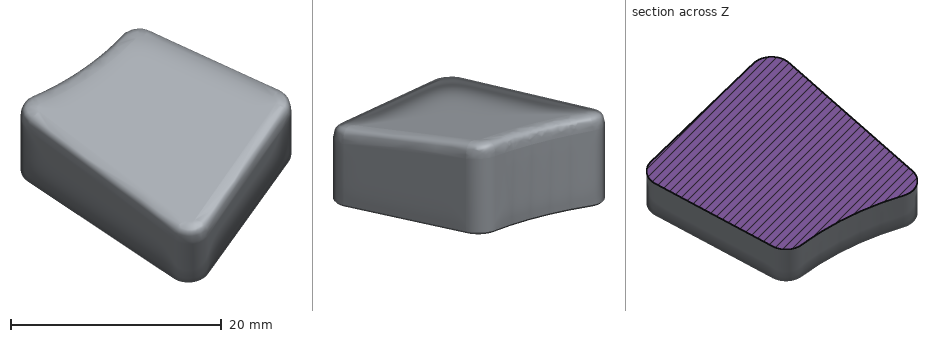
import cadquery as cq
import math

width = 22.26
depth = 20.56
height = 9.09
corner_radius = 4.25 / 2
front_angle = 14.0
back_left_x = 6.25
side_radius = 29.0
top_tilt = 5.2
crest_drop = 0.03
top_blend = 1.5
blend_fullness = 3.0
blend_steps = 8
bottom_chamfer = 0.25


right_x = width - corner_radius
back_y = depth - corner_radius
front_rise = (right_x - corner_radius) * math.tan(math.radians(front_angle))
front_right = cq.Vector(right_x, corner_radius)
front_left = cq.Vector(corner_radius, corner_radius + front_rise)
back_left = cq.Vector(back_left_x, back_y)
back_right = cq.Vector(right_x, back_y)

left_chord = back_left - front_left
half_chord = left_chord.Length / 2
chord_middle = (front_left + back_left) * 0.5
downhill = cq.Vector(left_chord.y, -left_chord.x).normalized()
level_angle = math.degrees(math.atan2(left_chord.y, left_chord.x))

hollow_offset = math.sqrt((side_radius + corner_radius) ** 2 - half_chord**2)
hollow_centre = chord_middle - downhill * hollow_offset


def outline(inset):
    """Closed outline in the XY plane, moved inward from the walls by inset."""
    radius = corner_radius - inset

    def on_corner(centre, angle):
        """Point of a corner circle at an angle in degrees from +X."""
        turn = math.radians(angle)
        point = centre + cq.Vector(math.cos(turn), math.sin(turn)) * radius
        return point.x, point.y

    def side_join(centre):
        """Point where a corner circle touches the hollow left arc."""
        point = centre + (hollow_centre - centre).normalized() * radius
        return point.x, point.y

    front_normal = 270 - front_angle
    side_middle = hollow_centre + downhill * (side_radius + inset)
    start = on_corner(front_left, front_normal)
    return (
        cq.Workplane("XY")
        .moveTo(*start)
        .lineTo(*on_corner(front_right, front_normal))
        .threePointArc(on_corner(front_right, 315), on_corner(front_right, 360))
        .lineTo(*on_corner(back_right, 0))
        .threePointArc(on_corner(back_right, 45), on_corner(back_right, 90))
        .lineTo(*on_corner(back_left, 90))
        .threePointArc(on_corner(back_left, 135), side_join(back_left))
        .threePointArc((side_middle.x, side_middle.y), side_join(front_left))
        .threePointArc(on_corner(front_left, 180), start)
        .close()
    )


shift_per_inset = math.sin(math.radians(top_tilt))

crest_distance = top_blend * (1 + shift_per_inset) - corner_radius
crest = front_left + downhill * crest_distance + cq.Vector(0, 0, height - crest_drop)


def space_above(drop):
    """Half-space, as a large box, above a sloped plane lying drop below the top face."""
    size = 4 * width
    return (
        cq.Workplane("XY")
        .box(size, size, size, centered=(True, True, False))
        .rotate((0, 0, 0), (0, 1, 0), top_tilt)
        .rotate((0, 0, 0), (0, 0, 1), level_angle - 90)
        .translate(crest - cq.Vector(0, 0, drop))
    )


def sloped_prism(inset, drop):
    """Upright prism over the inset outline, ended by a sloped plane."""
    prism = outline(inset).extrude(2 * height).translate(downhill * (inset * shift_per_inset))
    return prism.cut(space_above(drop))


def blend_section(step):
    """Wire of one section of the rounded edge, from the wall (0) to the top face."""
    angle = math.pi / 2 * step / blend_steps
    inset = top_blend * (1 - math.cos(angle) ** (2 / blend_fullness))
    drop = top_blend * (1 - math.sin(angle) ** (2 / blend_fullness))
    return sloped_prism(inset, drop).faces(">Z").val().outerWire()


def make_rounded_top():
    """Loft from the wall up to the edge of the flat top face."""
    sections = [blend_section(step) for step in range(blend_steps + 1)]
    return cq.Workplane(cq.Solid.makeLoft(sections))


result = sloped_prism(0, top_blend).union(make_rounded_top())
result = result.faces("<Z").edges().chamfer(bottom_chamfer)